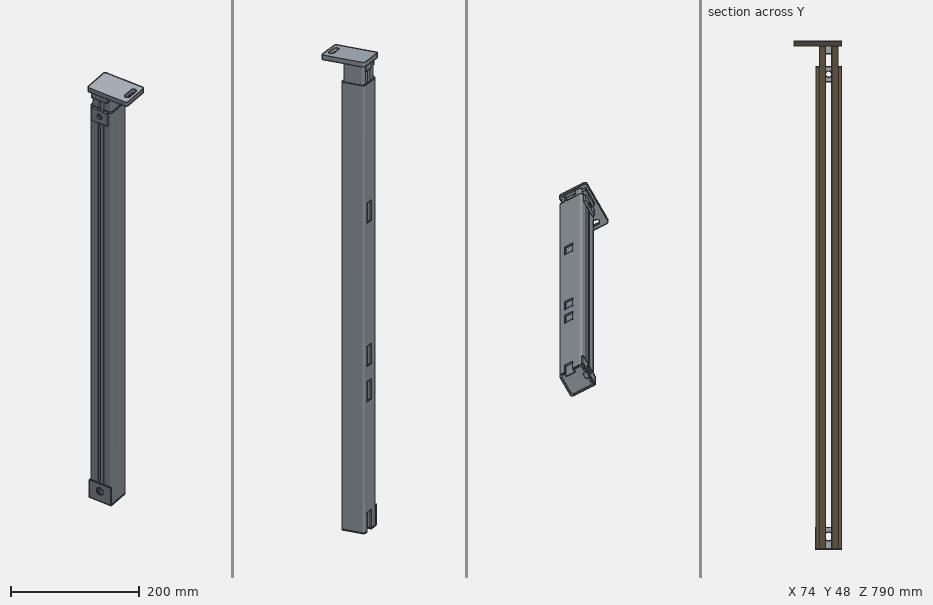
import cadquery as cq

total_height = 790
tube_top = 750.5
sole_thickness = 1.5

tube_side = 40.0
tube_wall = 2.0
tube_corner_radius = 3.55
tube_slot_width = 11.0
window_width = 14.0
window_height = 33.0
window_bottoms = (218.0, 277.0, 517.5)
bottom_notch_top = 32.0

side_centre_y = 3.0

rail_side = tube_side - 2 * tube_wall
rail_corner_radius = 3.55
front_groove_width = 9.5
front_groove_depth = 4.0
side_groove_depth = 5.0
side_groove_width = 16.5

plate_length = 74.0
plate_width = 48.0
plate_thickness = 8.0
plate_back_overhang = 0.4
plate_corner_radius = 3.55
plate_slot_length = 25.0
plate_slot_width = 9.0
plate_slot_end_distance = 9.5
tab_width = 29.0
tab_drop = 12.0
tab_projection = 4.0
key_width = 16.5
key_centre_y = 1.0

clamp_height = 24
clamp_thickness = 4.0
clamp_hole_diameter = 9.5

foot_top = 35.0
foot_thickness = 2.0
foot_chamfer = 1.5
foot_hole_diameter = 13.5
foot_hole_height = 20.5

tube_front = -tube_side / 2
tube_left = -tube_side / 2
rail_front = -rail_side / 2
rail_left = -rail_side / 2
plate_centre_y = tube_side / 2 + plate_back_overhang - plate_width / 2
rail_top = total_height - plate_thickness
side_groove_x = (rail_left, rail_left + side_groove_depth)
tab_z = (rail_top - tab_drop, rail_top)


def box(x_range, y_range, z_range):
    """Box between the given limits on each axis."""
    sizes = [limits[1] - limits[0] for limits in (x_range, y_range, z_range)]
    corner = cq.Vector(x_range[0], y_range[0], z_range[0])
    return cq.Workplane(cq.Solid.makeBox(*sizes, pnt=corner))


def span(centre, width):
    """Limits of a width spread evenly about its centre."""
    return (centre - width / 2, centre + width / 2)


def rounded_bar(side, radius, z_range):
    """Upright square bar with rounded vertical edges."""
    bottom, top = z_range
    bar = cq.Workplane(origin=(0, 0, bottom)).rect(side, side).extrude(top - bottom)
    return bar.edges("|Z").fillet(radius)


def make_tube():
    tube_z = (sole_thickness, tube_top)
    tube = rounded_bar(tube_side, tube_corner_radius, tube_z)
    tube = tube.cut(rounded_bar(rail_side, rail_corner_radius, tube_z))
    tube = tube.cut(box(span(0, tube_slot_width), (tube_front, rail_front), tube_z))
    openings = [(sole_thickness, bottom_notch_top)]
    openings += [(bottom, bottom + window_height) for bottom in window_bottoms]
    for opening_z in openings:
        tube = tube.cut(box((tube_left, rail_left), span(side_centre_y, window_width), opening_z))
    return tube


def make_rail():
    rail_z = (sole_thickness, rail_top)
    front_groove_y = (rail_front, rail_front + front_groove_depth)
    front_groove = box(span(0, front_groove_width), front_groove_y, rail_z)
    side_groove = box(side_groove_x, span(side_centre_y, side_groove_width), rail_z)
    key_seat = box(side_groove_x, span(key_centre_y, key_width), tab_z)
    rail = rounded_bar(rail_side, rail_corner_radius, rail_z)
    return rail.cut(front_groove).cut(side_groove).cut(key_seat)


def make_top_plate():
    plate_right = tube_left + plate_length
    plate = (
        cq.Workplane(origin=(tube_left + plate_length / 2, plate_centre_y, rail_top))
        .rect(plate_length, plate_width)
        .extrude(plate_thickness)
        .edges("|Z")
        .fillet(plate_corner_radius)
    )
    slot = (
        cq.Workplane(origin=(plate_right - plate_slot_end_distance, plate_centre_y, rail_top))
        .slot2D(plate_slot_length, plate_slot_width, 90)
        .extrude(plate_thickness)
    )
    tab = box(span(0, tab_width), (tube_front - tab_projection, rail_front), tab_z)
    key = box(side_groove_x, span(key_centre_y, key_width), tab_z)
    return plate.cut(slot).union(tab).union(key)


def pad_hole(diameter, height, depth):
    """Round hole cutter that enters along Y through a pad on the tube's front face."""
    return cq.Workplane("XZ", origin=(0, tube_front, height)).circle(diameter / 2).extrude(depth)


def make_clamp():
    clamp_y = (tube_front - clamp_thickness, tube_front)
    clamp = box(span(0, tab_width), clamp_y, (tube_top - clamp_height, tube_top))
    return clamp.cut(pad_hole(clamp_hole_diameter, tube_top - clamp_height / 2, clamp_thickness))


def make_foot():
    foot_front = tube_front - foot_thickness
    sole = box(span(0, tube_side), (foot_front, tube_side / 2), (0, sole_thickness))
    sole = sole.edges("|Z and >Y").fillet(tube_corner_radius)
    flange = box(span(0, tube_side), (foot_front, tube_front), (0, foot_top))
    foot = sole.union(flange).edges("|X and <Y and <Z").chamfer(foot_chamfer)
    side_notch_x = (tube_left, rail_left + side_groove_depth)
    foot = foot.cut(box(side_notch_x, span(side_centre_y, window_width), (0, sole_thickness)))
    return foot.cut(pad_hole(foot_hole_diameter, foot_hole_height, foot_thickness))


tube = make_tube()
rail = make_rail()
top_plate = make_top_plate()
clamp = make_clamp()
foot = make_foot()

result = cq.Compound.makeCompound(
    [tube.val(), rail.val(), top_plate.val(), clamp.val(), foot.val()]
)